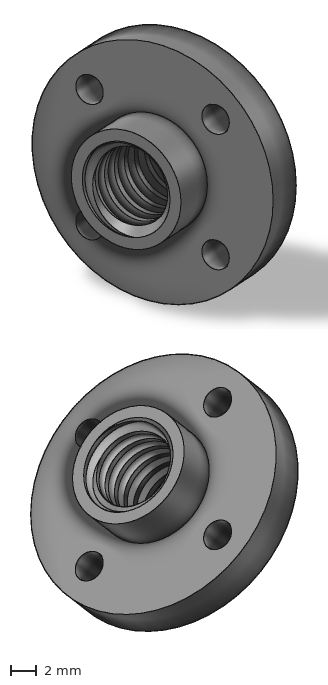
import cadquery as cq
import math

FLANGE_DIAMETER = 22.0
FLANGE_THICKNESS = 3.5
HUB_DIAMETER = 10.0
HUB_PROJECTION = 4.0
HOLE_DIAMETER = 2.5
HOLE_SPACING = 11.5

THREAD_MAJOR_DIAMETER = 8.0
THREAD_PITCH = 1.5
FLANK_ANGLE = 15.0
THREAD_MINOR_DIAMETER = THREAD_MAJOR_DIAMETER - THREAD_PITCH
THREAD_EXIT_ANGLE = 216.0
CHAMFER_DEPTH = 0.7

TOTAL_LENGTH = FLANGE_THICKNESS + 2 * HUB_PROJECTION
HALF_LENGTH = TOTAL_LENGTH / 2
MAJOR_RADIUS = THREAD_MAJOR_DIAMETER / 2
MINOR_RADIUS = THREAD_MINOR_DIAMETER / 2

CUTTER_OVERLAP = 0.15
CUTTER_TURNS = math.ceil(TOTAL_LENGTH / THREAD_PITCH) + 3
CUTTER_LENGTH = CUTTER_TURNS * THREAD_PITCH
CORE_LENGTH = 2 * CUTTER_LENGTH


def make_disc(diameter, thickness):
    """Round disc along Z, centred on the origin."""
    return cq.Workplane("XY").circle(diameter / 2).extrude(thickness).translate((0, 0, -thickness / 2))


def make_body():
    """Flange with an equal hub on each side, its axis along Z."""
    return make_disc(HUB_DIAMETER, TOTAL_LENGTH).union(make_disc(FLANGE_DIAMETER, FLANGE_THICKNESS))


def make_mounting_holes():
    return (
        cq.Workplane("XY")
        .rect(HOLE_SPACING, HOLE_SPACING, forConstruction=True)
        .vertices()
        .circle(HOLE_DIAMETER / 2)
        .extrude(FLANGE_THICKNESS)
        .translate((0, 0, -FLANGE_THICKNESS / 2))
    )


def make_bore():
    """Bore at the thread's minor diameter, flared to the major diameter at both ends."""
    chamfer_start = HALF_LENGTH - CHAMFER_DEPTH
    return (
        cq.Workplane("XZ")
        .moveTo(0, -HALF_LENGTH)
        .lineTo(MAJOR_RADIUS, -HALF_LENGTH)
        .lineTo(MINOR_RADIUS, -chamfer_start)
        .lineTo(MINOR_RADIUS, chamfer_start)
        .lineTo(MAJOR_RADIUS, HALF_LENGTH)
        .lineTo(0, HALF_LENGTH)
        .close()
        .revolve(360, (0, 0, 0), (0, 1, 0))
    )


def make_thread_groove():
    """Trapezoidal groove swept along a helix about Z."""
    inner_radius = MINOR_RADIUS - CUTTER_OVERLAP
    pitch_radius = (MAJOR_RADIUS + MINOR_RADIUS) / 2
    flank_slope = math.tan(math.radians(FLANK_ANGLE))
    half_root = THREAD_PITCH / 4 - (MAJOR_RADIUS - pitch_radius) * flank_slope
    half_mouth = THREAD_PITCH / 4 + (pitch_radius - inner_radius) * flank_slope
    helix = cq.Wire.makeHelix(THREAD_PITCH, CUTTER_LENGTH, pitch_radius)
    groove = (
        cq.Workplane("XZ")
        .moveTo(inner_radius, -half_mouth)
        .lineTo(MAJOR_RADIUS, -half_root)
        .lineTo(MAJOR_RADIUS, half_root)
        .lineTo(inner_radius, half_mouth)
        .close()
        .sweep(cq.Workplane(obj=helix), isFrenet=True)
    )
    start_height = HALF_LENGTH + THREAD_PITCH - CUTTER_LENGTH
    return groove.translate((0, 0, start_height)).rotate((0, 0, 0), (0, 0, 1), THREAD_EXIT_ANGLE)


core = make_disc(THREAD_MINOR_DIAMETER, CORE_LENGTH)
groove = make_thread_groove().cut(core)
nut = make_body().cut(make_mounting_holes()).cut(make_bore()).cut(groove)

result = nut.rotate((0, 0, 0), (1, 0, 0), 90)